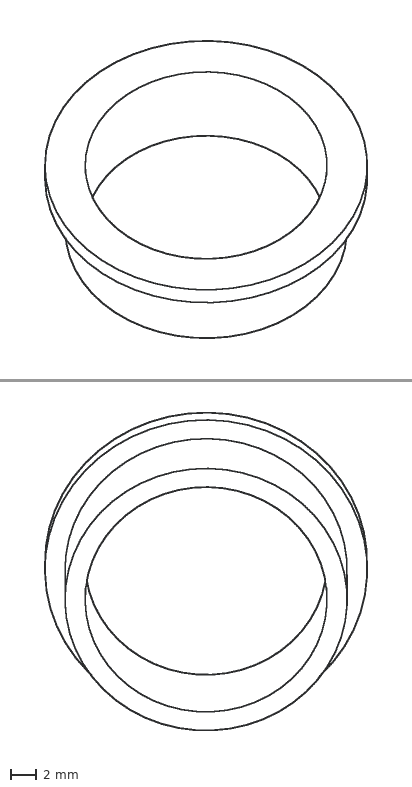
import cadquery as cq

INCH = 25.4
bore_diameter = 3 / 4 * INCH
sleeve_diameter = 7 / 8 * INCH
flange_diameter = 1 * INCH
overall_height = 5 / 16 * INCH
flange_thickness = 1 / 16 * INCH

bore_radius = bore_diameter / 2
sleeve_radius = sleeve_diameter / 2
flange_radius = flange_diameter / 2
flange_underside = overall_height - flange_thickness

half_section = (
    cq.Workplane("XZ")
    .moveTo(-bore_radius, 0)
    .lineTo(-sleeve_radius, 0)
    .lineTo(-sleeve_radius, flange_underside)
    .lineTo(-flange_radius, flange_underside)
    .lineTo(-flange_radius, overall_height)
    .lineTo(-bore_radius, overall_height)
    .close()
)

result = half_section.revolve(360, (0, 0, 0), (0, 1, 0))